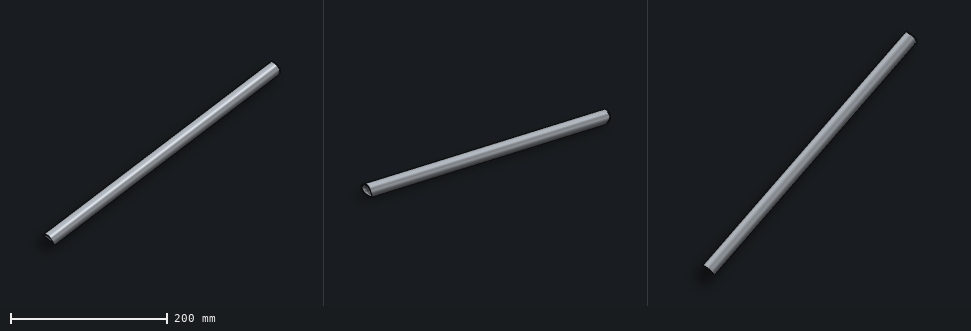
import cadquery as cq
import math

outer_radius = 10.0
wall = 1.5
overall_length = 406.87

post_radius = 20.0
post_lean = 20.0
post_half_length = 60.0

tip_to_post_axis = math.sqrt(post_radius**2 - outer_radius**2)
post_axis_y = overall_length / 2 + tip_to_post_axis


def make_tube():
    return (
        cq.Workplane("XZ")
        .circle(outer_radius)
        .circle(outer_radius - wall)
        .extrude(overall_length / 2, both=True)
    )


def make_post(side):
    """Leaning post at the +Y end (side = 1) or the -Y end (side = -1)."""
    return (
        cq.Workplane("XY")
        .circle(post_radius)
        .extrude(post_half_length, both=True)
        .rotate((0, 0, 0), (1, 0, 0), -side * post_lean)
        .translate((0, side * post_axis_y, 0))
    )


result = make_tube()
for side in (1, -1):
    result = result.cut(make_post(side))